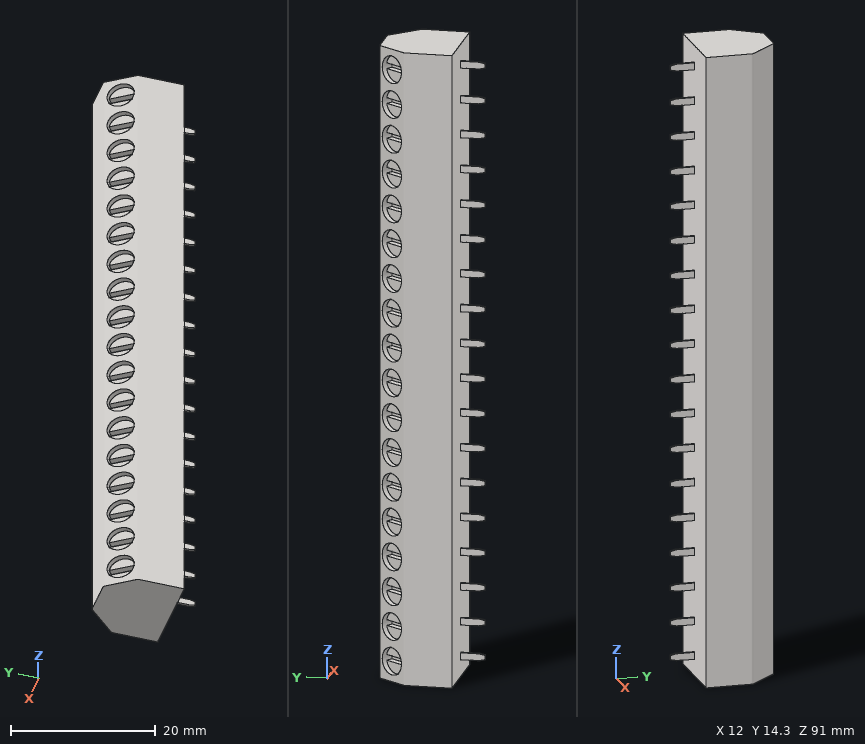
import cadquery as cq

length = 91.0
width = 12.0
total_depth = 14.3
pin_length = 3.5
body_depth = total_depth - pin_length

slope_depth = 4.1
screw_slope_width = 2.9
plain_slope_width = 3.9
slope_edge_radius = 0.5

pin_count = 18
pitch = 5.0
first_z = (length - (pin_count - 1) * pitch) / 2

pin_thickness = 0.4
pin_height = 1.0
tip_length = 0.8
tip_height = 0.6
pin_root = 0.5

screw_diameter = 3.9
recess_depth = 0.8
slot_width = 0.8
slot_depth = 1.0


def make_housing():
    """Prism along Z with the front face on Y = 0 and the rear face on Y = body_depth."""
    half = width / 2
    shoulder = body_depth - slope_depth
    return (
        cq.Workplane("XY")
        .moveTo(-half, 0)
        .lineTo(half, 0)
        .lineTo(half, shoulder)
        .lineTo(half - plain_slope_width, body_depth)
        .lineTo(-half + screw_slope_width, body_depth)
        .lineTo(-half, shoulder)
        .close()
        .extrude(length)
        .edges("|Z and (not <Y)")
        .fillet(slope_edge_radius)
    )


def make_pin(z):
    """Flat pin pointing to -Y, narrowing in height at its tip."""
    half = pin_height / 2
    half_tip = tip_height / 2
    tip_start = tip_length - pin_length
    outline = [
        (pin_root, z - half),
        (tip_start, z - half),
        (-pin_length, z - half_tip),
        (-pin_length, z + half_tip),
        (tip_start, z + half),
        (pin_root, z + half),
    ]
    return cq.Workplane("YZ").polyline(outline).close().extrude(pin_thickness / 2, both=True)


def make_screw_cut(z):
    """Round recess square to the screw slope, with a slot across its floor."""
    slope_plane = cq.Plane(
        origin=((screw_slope_width - width) / 2, body_depth - slope_depth / 2, z),
        xDir=(screw_slope_width, slope_depth, 0),
        normal=(-slope_depth, screw_slope_width, 0),
    )
    recess = cq.Workplane(slope_plane).circle(screw_diameter / 2).extrude(-recess_depth)
    cut_depth = recess_depth + slot_depth
    slot = cq.Workplane(slope_plane).rect(screw_diameter, slot_width).extrude(-cut_depth)
    bore = cq.Workplane(slope_plane).circle(screw_diameter / 2).extrude(-cut_depth)
    return recess.union(slot.intersect(bore))


result = make_housing()
for index in range(pin_count):
    terminal_z = first_z + index * pitch
    result = result.cut(make_screw_cut(terminal_z)).union(make_pin(terminal_z))